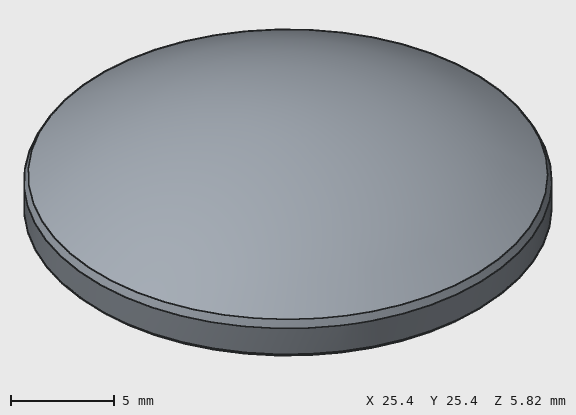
import cadquery as cq

diameter = 25.4
centre_thickness = 5.82
edge_thickness = 2.0
bevel = 0.25

radius = diameter / 2
sag = centre_thickness - edge_thickness
dome_radius = (radius**2 + sag**2) / (2 * sag)
dome_centre_z = centre_thickness - dome_radius


def dome_height(distance_from_axis):
    """Height of the spherical face at a distance from the optical axis."""
    return dome_centre_z + (dome_radius**2 - distance_from_axis**2) ** 0.5


def lens_blank():
    """Sharp-edged lens, made by revolving half of its section about Z."""
    mid_radius = radius / 2
    section = (
        cq.Workplane("XZ")
        .lineTo(radius, 0)
        .lineTo(radius, edge_thickness)
        .threePointArc((mid_radius, dome_height(mid_radius)), (0, centre_thickness))
        .close()
    )
    return section.revolve(360, (0, 0, 0), (0, 1, 0))


result = lens_blank().faces("%CYLINDER").edges("%CIRCLE").chamfer(bevel)